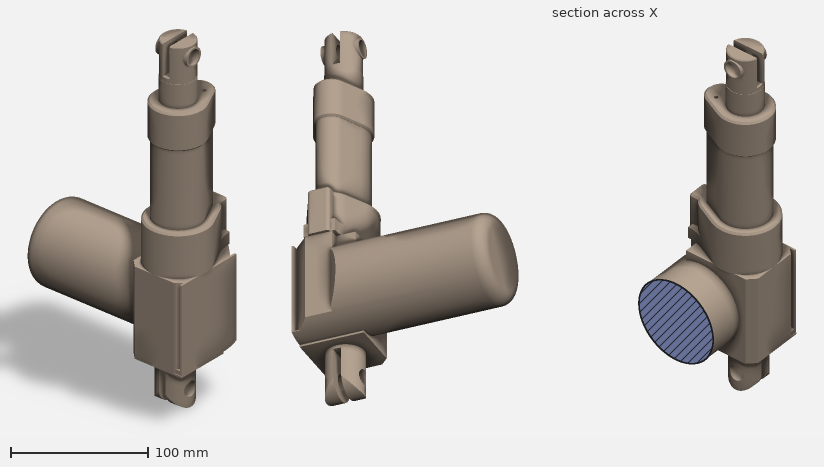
import cadquery as cq
import math


MOTOR_DIAMETER = 69.85
MOTOR_Y = 20.6375
MOTOR_CLEARANCE = 1.5875
MOTOR_Z = MOTOR_DIAMETER / 2 + MOTOR_CLEARANCE
MOTOR_TO_FRONT = 47.625
MOTOR_END = -136.525
MOTOR_END_ROUND = 9.5
MOTOR_BEVEL_START = -18.4
MOTOR_BEVEL_END_Y = 45.5

HOUSING_HEIGHT = 77.38
HOUSING_FRONT = MOTOR_Y - MOTOR_TO_FRONT
HOUSING_BACK = 35.0
HOUSING_LEFT = -25.2
HOUSING_RIGHT = 25.9
FRONT_BEVEL = 6.6
REAR_BLOCK_BACK = 42.9
REAR_BLOCK_LEFT = -10.0

NOTCH_LEG = 4.8
NOTCH_FLOOR = 5.3
RIGHT_WALL = 1.7
CORNER_PANEL_DEPTH = 0.5
CORNER_PANEL_FLOOR = 1.5

TEARDROP_OFFSET = 22.225
COLLAR_RADIUS = 26.9875
COLLAR_NOSE_RADIUS = 17.1
COLLAR_HEIGHT = 37.3
TUBE_RADIUS = 20.6375
TUBE_NOSE_RADIUS = 11.1
TUBE_HEIGHT = 66.5
CAP_RADIUS = 22.4
CAP_NOSE_RADIUS = 12.7
CAP_HEIGHT = 31.75
EDGE_BREAK = 1.5

TAB_WIDTH = 17.8
TAB_BACK = 45.8
TAB_CORNER_FILLET = 2.8
TAB_ROOT_FILLET = 2.8
SHOULDER_HALF_WIDTH = 12.5
SHOULDER_BACK = 43.3
SHOULDER_SAG = 0.6
SHOULDER_HEIGHT = 11.5

CAP_HOLE_DIAMETER = 3.25
CAP_HOLE_X = 6.35
CAP_HOLE_Y = 22.225
CAP_HOLE_DEPTH = 6.35

ROD_DIAMETER = 28.57
CLEVIS_DIAMETER = 28.07
ROD_LENGTH = 51.1
CLEVIS_LENGTH = 31.0
CLEVIS_SLOT_DEPTH = 27.3
CLEVIS_EDGE = 0.8
PIN_BOSS_DIAMETER = 15.88
PIN_BOSS_WIDTH = 30.16
PIN_DEPTH = 10.5

LOWER_CLEVIS_DIAMETER = 30.16
LOWER_CLEVIS_Y = -3.175
LOWER_CLEVIS_LENGTH = 38.1
LOWER_SLOT_DEPTH = 35.4

SLOT_WIDTH = 6.35
PIN_HOLE_DIAMETER = 12.7

COLLAR_TOP = HOUSING_HEIGHT + COLLAR_HEIGHT
TUBE_TOP = COLLAR_TOP + TUBE_HEIGHT
CAP_TOP = TUBE_TOP + CAP_HEIGHT
ROD_TOP = CAP_TOP + ROD_LENGTH


def box(x_range, y_range, z_range):
    """Axis-aligned block between the given limits."""
    size = [high - low for low, high in (x_range, y_range, z_range)]
    corner = (x_range[0], y_range[0], z_range[0])
    return cq.Workplane("XY").box(*size, centered=False).translate(corner)


def cylinder(diameter, bottom, top, x=0, y=0):
    """Vertical cylinder between two heights."""
    return cq.Workplane("XY", origin=(x, y, bottom)).circle(diameter / 2).extrude(top - bottom)


def cross_cylinder(diameter, length, y, z):
    """Cylinder along X, centred on X = 0."""
    return cq.Workplane("YZ", origin=(0, y, z)).circle(diameter / 2).extrude(length / 2, both=True)


def nose_tangent(radius, nose_radius):
    """Tilt of the side tangents and the point where the right-hand one meets the nose."""
    tilt = math.asin((radius - nose_radius) / TEARDROP_OFFSET)
    nose_x = nose_radius * math.cos(tilt)
    nose_y = TEARDROP_OFFSET + nose_radius * math.sin(tilt)
    return tilt, nose_x, nose_y


def teardrop(radius, nose_radius, bottom, top):
    """Large round about the rod axis joined by tangents to a smaller nose behind it."""
    tilt, nose_x, nose_y = nose_tangent(radius, nose_radius)
    side_x = radius * math.cos(tilt)
    side_y = radius * math.sin(tilt)
    return (
        cq.Workplane("XY", origin=(0, 0, bottom))
        .moveTo(side_x, side_y)
        .lineTo(nose_x, nose_y)
        .threePointArc((0, TEARDROP_OFFSET + nose_radius), (-nose_x, nose_y))
        .lineTo(-side_x, side_y)
        .threePointArc((0, -radius), (side_x, side_y))
        .close()
        .extrude(top - bottom)
    )


def prism(points, bottom, top):
    """Vertical prism on a plan outline."""
    return cq.Workplane("XY", origin=(0, 0, bottom)).polyline(points).close().extrude(top - bottom)


def make_housing():
    wall_inside = HOUSING_RIGHT - RIGHT_WALL
    back_slope_x = wall_inside - NOTCH_LEG - (REAR_BLOCK_BACK - HOUSING_BACK)
    body = prism(
        [
            (HOUSING_LEFT, HOUSING_BACK),
            (HOUSING_LEFT, HOUSING_FRONT + FRONT_BEVEL),
            (HOUSING_LEFT + FRONT_BEVEL, HOUSING_FRONT),
            (HOUSING_RIGHT, HOUSING_FRONT),
            (HOUSING_RIGHT, HOUSING_BACK),
            (wall_inside - NOTCH_LEG, HOUSING_BACK),
            (back_slope_x, REAR_BLOCK_BACK),
            (REAR_BLOCK_LEFT, REAR_BLOCK_BACK),
            (REAR_BLOCK_LEFT, HOUSING_BACK),
        ],
        0,
        HOUSING_HEIGHT,
    )
    for edge_y, inward in ((HOUSING_FRONT, 1), (HOUSING_BACK, -1)):
        notch = prism(
            [
                (wall_inside - NOTCH_LEG, edge_y),
                (wall_inside, edge_y),
                (wall_inside, edge_y + inward * NOTCH_LEG),
            ],
            NOTCH_FLOOR,
            HOUSING_HEIGHT,
        )
        body = body.cut(notch)
    panel = box(
        (wall_inside - NOTCH_LEG, HOUSING_RIGHT),
        (HOUSING_FRONT, HOUSING_FRONT + CORNER_PANEL_DEPTH),
        (CORNER_PANEL_FLOOR, HOUSING_HEIGHT),
    )
    body = body.cut(panel)
    corner = box((HOUSING_LEFT, HOUSING_RIGHT), (MOTOR_Y, REAR_BLOCK_BACK), (0, MOTOR_Z))
    rounding = corner.cut(cross_cylinder(MOTOR_DIAMETER, 2 * COLLAR_RADIUS, MOTOR_Y, MOTOR_Z))
    return body.cut(rounding)


def make_motor():
    motor_back = MOTOR_Y + MOTOR_DIAMETER / 2
    can = (
        cq.Workplane("YZ", origin=(MOTOR_END, MOTOR_Y, MOTOR_Z))
        .circle(MOTOR_DIAMETER / 2)
        .extrude(REAR_BLOCK_LEFT - MOTOR_END)
        .faces("<X")
        .edges()
        .fillet(MOTOR_END_ROUND)
    )
    bevel = prism(
        [
            (MOTOR_BEVEL_START, motor_back),
            (REAR_BLOCK_LEFT, motor_back),
            (REAR_BLOCK_LEFT, MOTOR_BEVEL_END_Y),
        ],
        0,
        HOUSING_HEIGHT,
    )
    return can.cut(bevel)


def make_shoulders():
    """Flared widening at the foot of the collar, either side of the tab."""
    _, root_x, root_y = nose_tangent(COLLAR_RADIUS, COLLAR_NOSE_RADIUS)
    return (
        cq.Workplane("XY", origin=(0, 0, HOUSING_HEIGHT))
        .moveTo(-root_x, root_y)
        .lineTo(root_x, root_y)
        .sagittaArc((SHOULDER_HALF_WIDTH, SHOULDER_BACK), SHOULDER_SAG)
        .lineTo(-SHOULDER_HALF_WIDTH, SHOULDER_BACK)
        .sagittaArc((-root_x, root_y), SHOULDER_SAG)
        .close()
        .extrude(SHOULDER_HEIGHT)
        .faces(">Z")
        .edges("not <Y")
        .chamfer(EDGE_BREAK)
    )


def make_collar():
    collar = teardrop(COLLAR_RADIUS, COLLAR_NOSE_RADIUS, HOUSING_HEIGHT, COLLAR_TOP)
    tab = box(
        (-TAB_WIDTH / 2, TAB_WIDTH / 2), (TEARDROP_OFFSET, TAB_BACK), (HOUSING_HEIGHT, COLLAR_TOP)
    )
    tab = tab.edges("|Z and >Y").fillet(TAB_CORNER_FILLET)
    collar = collar.union(tab)
    root_y = TEARDROP_OFFSET + math.sqrt(COLLAR_NOSE_RADIUS**2 - (TAB_WIDTH / 2) ** 2)
    for side in (-1, 1):
        root_middle = (side * TAB_WIDTH / 2, root_y, COLLAR_TOP - COLLAR_HEIGHT / 2)
        root = cq.selectors.NearestToPointSelector(root_middle)
        collar = collar.edges("|Z").edges(root).fillet(TAB_ROOT_FILLET)
    collar = collar.faces(">Z").edges().chamfer(EDGE_BREAK)
    return collar.union(make_shoulders())


def make_tube_and_cap():
    tube = teardrop(TUBE_RADIUS, TUBE_NOSE_RADIUS, COLLAR_TOP, TUBE_TOP)
    cap = teardrop(CAP_RADIUS, CAP_NOSE_RADIUS, TUBE_TOP, CAP_TOP)
    cap = cap.faces("<Z or >Z").edges().chamfer(EDGE_BREAK)
    for side in (-1, 1):
        hole = cylinder(
            CAP_HOLE_DIAMETER, CAP_TOP - CAP_HOLE_DEPTH, CAP_TOP, side * CAP_HOLE_X, CAP_HOLE_Y
        )
        cap = cap.cut(hole)
    return tube.union(cap)


def make_rod():
    clevis_bottom = ROD_TOP - CLEVIS_LENGTH
    pin_z = ROD_TOP - PIN_DEPTH
    rod = cylinder(ROD_DIAMETER, CAP_TOP, clevis_bottom)
    clevis = cylinder(CLEVIS_DIAMETER, clevis_bottom, ROD_TOP).faces(">Z").edges().chamfer(CLEVIS_EDGE)
    clevis = clevis.union(cross_cylinder(PIN_BOSS_DIAMETER, PIN_BOSS_WIDTH, 0, pin_z))
    slot = box(
        (-SLOT_WIDTH / 2, SLOT_WIDTH / 2),
        (-ROD_DIAMETER, ROD_DIAMETER),
        (ROD_TOP - CLEVIS_SLOT_DEPTH, ROD_TOP),
    )
    pin_hole = cross_cylinder(PIN_HOLE_DIAMETER, 2 * ROD_DIAMETER, 0, pin_z)
    return rod.union(clevis).cut(slot).cut(pin_hole)


def make_lower_clevis():
    radius = LOWER_CLEVIS_DIAMETER / 2
    pin_z = radius - LOWER_CLEVIS_LENGTH
    clevis = cylinder(LOWER_CLEVIS_DIAMETER, -LOWER_CLEVIS_LENGTH, 0, 0, LOWER_CLEVIS_Y)
    y_range = (LOWER_CLEVIS_Y - radius, LOWER_CLEVIS_Y + radius)
    rounded_end = cross_cylinder(LOWER_CLEVIS_DIAMETER, LOWER_CLEVIS_DIAMETER, LOWER_CLEVIS_Y, pin_z)
    envelope = rounded_end.union(box((-radius, radius), y_range, (pin_z, 0)))
    slot = box(
        (-SLOT_WIDTH / 2, SLOT_WIDTH / 2),
        y_range,
        (-LOWER_CLEVIS_LENGTH, LOWER_SLOT_DEPTH - LOWER_CLEVIS_LENGTH),
    )
    pin_hole = cross_cylinder(PIN_HOLE_DIAMETER, LOWER_CLEVIS_DIAMETER, LOWER_CLEVIS_Y, pin_z)
    return clevis.intersect(envelope).cut(slot).cut(pin_hole)


result = (
    make_housing()
    .union(make_motor())
    .union(make_collar())
    .union(make_tube_and_cap())
    .union(make_rod())
    .union(make_lower_clevis())
)